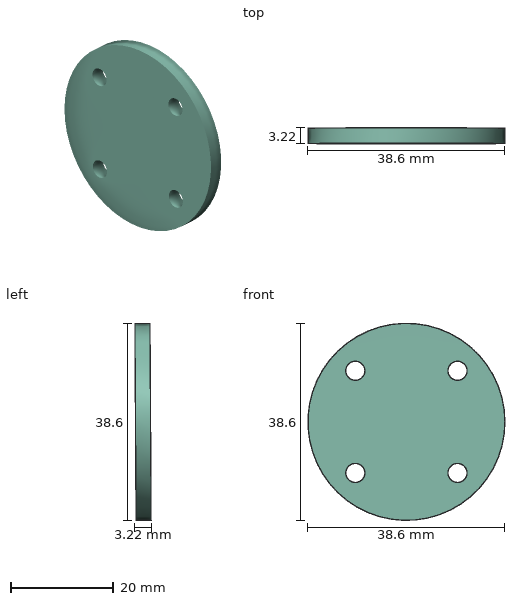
import cadquery as cq
import math

disc_diameter = 38.6
disc_thickness = 3.0
hole_diameter = 3.7
hole_spacing = 20.0
overall_depth = 3.22

tilt_angle = math.degrees(
    math.asin(overall_depth / math.hypot(disc_diameter, disc_thickness))
    - math.atan2(disc_thickness, disc_diameter)
)


def make_disc():
    """Plain round disc, centred on the origin with its axis along Y."""
    back_face = cq.Workplane("XZ", origin=(0, disc_thickness / 2, 0))
    return back_face.circle(disc_diameter / 2).extrude(disc_thickness)


def drill_holes(disc):
    """Four through holes on a square pattern, square to the disc faces."""
    return (
        disc.faces("<Y")
        .workplane(origin=(0, 0, 0))
        .rect(hole_spacing, hole_spacing, forConstruction=True)
        .vertices()
        .hole(hole_diameter)
    )


upright_plate = drill_holes(make_disc())
result = upright_plate.rotate((0, 0, 0), (1, 0, 0), -tilt_angle)